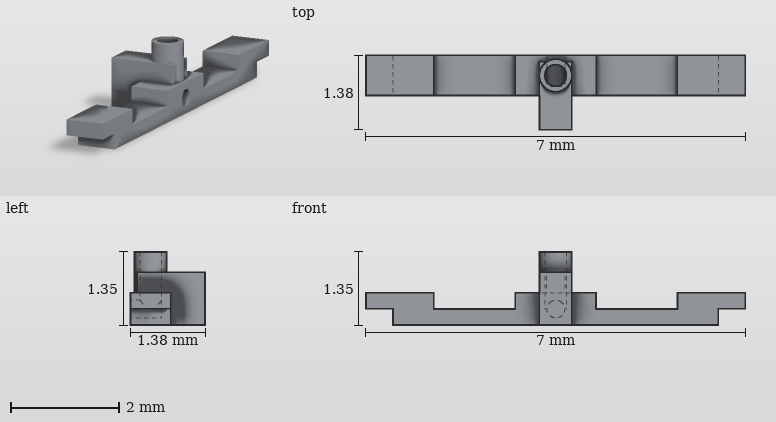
import cadquery as cq

bar_length = 7.0
bar_width = 0.75
layer_height = 0.3
bar_height = 2 * layer_height
end_overhang = 0.5
end_pad_length = 1.25
centre_pad_length = 1.5

block_width = 0.6
block_height = 0.98
block_back_inset = 0.125
part_depth = 1.38

tube_diameter = block_width
tube_top = 1.35
bore_diameter = 0.4
channel_diameter = 0.33
channel_height = bar_height / 2


def make_bar():
    """Lower strip with raised pads at its centre and overhanging both ends."""
    strip_length = bar_length - 2 * end_overhang
    bar = cq.Workplane("XY").box(strip_length, bar_width, layer_height, centered=(True, True, False))
    end_pad_offset = (bar_length - end_pad_length) / 2
    pads = (
        (-end_pad_offset, end_pad_length),
        (0, centre_pad_length),
        (end_pad_offset, end_pad_length),
    )
    for pad_x, pad_length in pads:
        pad = cq.Workplane("XY").box(pad_length, bar_width, layer_height, centered=(True, True, False))
        bar = bar.union(pad.translate((pad_x, 0, layer_height)))
    return bar


def make_block():
    block_back = bar_width / 2 - block_back_inset
    block_depth = part_depth - block_back_inset
    block = cq.Workplane("XY").box(block_width, block_depth, block_height, centered=(True, True, False))
    return block.translate((0, block_back - block_depth / 2, 0))


def make_tube():
    return cq.Workplane("XY").circle(tube_diameter / 2).extrude(tube_top)


def make_passage():
    """Vertical bore that turns into a narrower channel leaving through the +Y face of the bar."""
    bore = (
        cq.Workplane("XY")
        .workplane(offset=channel_height)
        .circle(bore_diameter / 2)
        .extrude(tube_top - channel_height)
    )
    channel = (
        cq.Workplane("XZ", origin=(0, -bore_diameter / 2, channel_height))
        .circle(channel_diameter / 2)
        .extrude(-(bar_width + bore_diameter) / 2)
    )
    return bore.union(channel)


result = make_bar().union(make_block()).union(make_tube()).cut(make_passage())